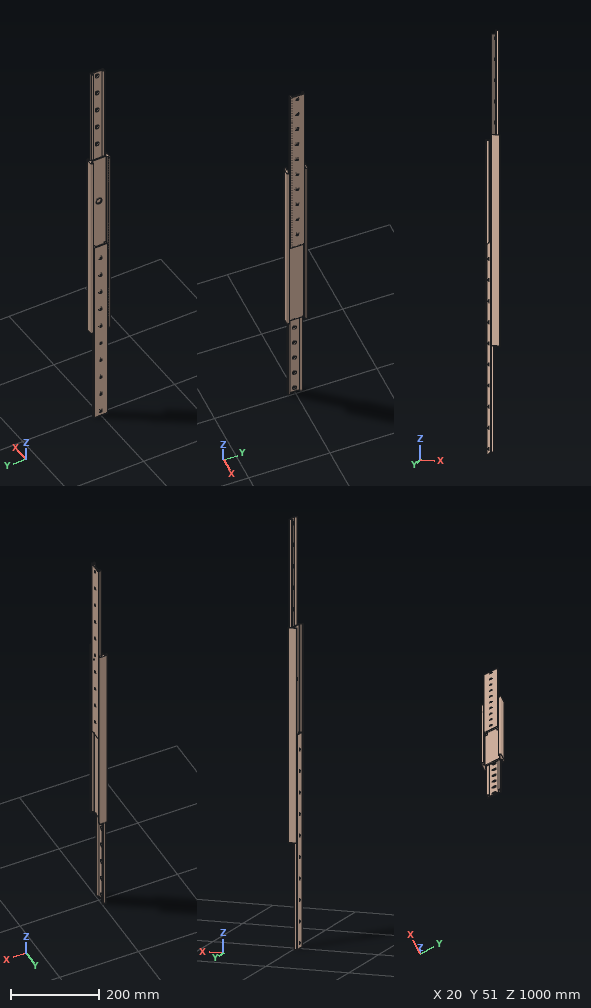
import cadquery as cq
import math



member_length = 500.0
extension = member_length / 2

middle_width = 20.0
middle_height = 51.0
middle_flange_thickness = 6.7
middle_corner_radius = 2.4
web_thickness = 3.0
web_hole_diameter = 15.0
web_hole_z = extension / 2

rail_width = 35.0
rail_depth = 8.0
rail_base_thickness = 3.0
rail_flange_thickness = 5.0

groove_radius = 2.8
lip_radius = 1.2

hole_count = 10
hole_pitch = member_length / hole_count
hole_end_offset = hole_pitch / 4
hole_diameter = 5.0
countersink_diameter = 10.0
countersink_depth = (countersink_diameter - hole_diameter) / 2

half_width = middle_width / 2
middle_inner_half = middle_height / 2 - middle_flange_thickness
rail_half = rail_width / 2
rail_inner_half = rail_half - rail_flange_thickness
rail_lip_x = half_width - rail_depth
rail_base_x = half_width - rail_base_thickness
groove_x = half_width - rail_depth / 2
groove_y = middle_inner_half


def block(x_range, half_height):
    """A block of member length, between two X positions and symmetric about the XZ plane."""
    x_start, x_end = x_range
    return (
        cq.Workplane("XY")
        .box(x_end - x_start, 2 * half_height, member_length)
        .translate(((x_start + x_end) / 2, 0, 0))
    )


def groove_cutter(end):
    """The round bar that cuts the ball groove at one end (+1 or -1 along Y) of the +X channel."""
    return (
        cq.Workplane("XY", origin=(0, 0, -member_length / 2))
        .center(groove_x, end * groove_y)
        .circle(groove_radius)
        .extrude(member_length)
    )


def lip_cutter(x, y, toward_x, toward_y):
    """The waste outside a rounded lip whose sharp corner is at (x, y)."""
    centre_x = x + toward_x * lip_radius
    centre_y = y + toward_y * lip_radius
    arc_reach = lip_radius * math.sqrt(0.5)
    arc_middle = (centre_x - toward_x * arc_reach, centre_y - toward_y * arc_reach)
    return (
        cq.Workplane("XY", origin=(0, 0, -member_length / 2))
        .moveTo(x, y)
        .lineTo(centre_x, y)
        .threePointArc(arc_middle, (x, centre_y))
        .close()
        .extrude(member_length)
    )


def channel_cutter():
    """The open channel on the +X side of the web, with its ball grooves and rounded lips."""
    channel = block((web_thickness / 2, half_width), middle_inner_half)
    for end in (1, -1):
        channel = channel.union(lip_cutter(half_width, end * middle_inner_half, -1, end))
        channel = channel.union(groove_cutter(end))
    return channel


def make_middle_member():
    """I-shaped member with a ball groove in each flange and one hole through its web."""
    body = block((-half_width, half_width), middle_height / 2)
    body = body.edges("|Z").fillet(middle_corner_radius)
    channel = channel_cutter()
    body = body.cut(channel).cut(channel.mirror("YZ"))
    web_hole = (
        cq.Workplane("YZ", origin=(-half_width, 0, web_hole_z))
        .circle(web_hole_diameter / 2)
        .extrude(middle_width)
    )
    return body.cut(web_hole)


def mounting_hole(z):
    """A hole through a rail's base, countersunk from the inside of the rail."""
    axis = cq.Vector(1, 0, 0)
    start = cq.Vector(rail_base_x, 0, z)
    hole = cq.Solid.makeCylinder(hole_diameter / 2, rail_base_thickness, start, axis)
    countersink = cq.Solid.makeCone(
        countersink_diameter / 2, hole_diameter / 2, countersink_depth, start, axis
    )
    return cq.Workplane("XY").add(hole).union(cq.Workplane("XY").add(countersink))


def make_rail():
    """The rail on the +X side, before it is extended, with its open side facing the web."""
    body = block((rail_lip_x, half_width), rail_half)
    body = body.cut(block((rail_lip_x, rail_base_x), rail_inner_half))
    for end in (1, -1):
        body = body.cut(lip_cutter(rail_lip_x, end * rail_inner_half, 1, end))
        body = body.cut(groove_cutter(end))

    top_hole_z = member_length / 2 - hole_end_offset
    for i in range(hole_count):
        body = body.cut(mounting_hole(top_hole_z - i * hole_pitch))
    return body


def make_rails():
    """The +X rail extended upward and its copy, turned half a turn about Y, extended downward."""
    extended_rail = make_rail().translate((0, 0, extension))
    return [extended_rail.rotate((0, 0, 0), (0, 1, 0), angle).val() for angle in (0, 180)]


middle_member = make_middle_member()
rails = make_rails()

result = cq.Compound.makeCompound([middle_member.val(), *rails])